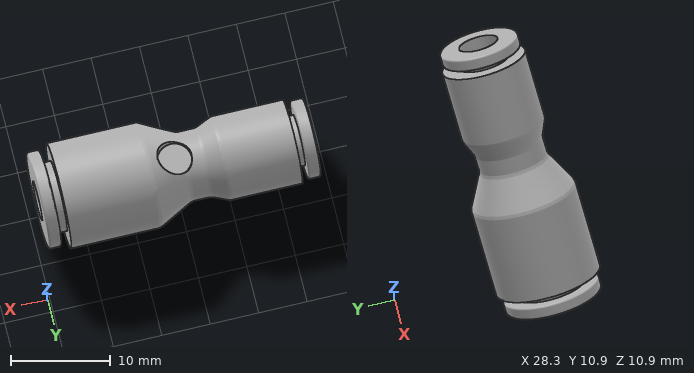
import cadquery as cq

total_length = 28.3
bore_radius = 2.0

collar_thickness = 1.3
collar_rounding = 0.23
small_collar_radius = 4.05
small_stem_radius = 2.6
small_stem_length = 0.68
large_collar_radius = 4.98
large_stem_radius = 3.62
large_stem_length = 0.88

small_body_radius = 4.33
neck_radius = 3.56
large_body_radius = 5.43
small_body_start = collar_thickness + small_stem_length
small_cone_start = 9.42
neck_start = 11.2
neck_end = 13.18
large_cone_end = 16.83
large_body_end = total_length - collar_thickness - large_stem_length
blend_radius = 0.8
edge_tolerance = 0.003

pocket_x = total_length / 2
pocket_radius = 1.75
pocket_floor_height = 2.9


def cylinder(start, end, radius):
    """Solid cylinder along X between two positions."""
    return cq.Workplane("YZ").workplane(offset=start).circle(radius).extrude(end - start)


def make_collar(start, radius):
    """Release collar flange with both rims rounded."""
    return cylinder(start, start + collar_thickness, radius).edges().fillet(collar_rounding)


def make_body():
    """Waisted body with its four cone junctions blended."""
    junctions = [
        (small_cone_start, small_body_radius),
        (neck_start, neck_radius),
        (neck_end, neck_radius),
        (large_cone_end, large_body_radius),
    ]
    outline = [
        (small_body_start, 0),
        (small_body_start, small_body_radius),
        *junctions,
        (large_body_end, large_body_radius),
        (large_body_end, 0),
    ]
    body = cq.Workplane("XY").polyline(outline).close().revolve(360, (0, 0, 0), (1, 0, 0))
    reach = 2 * large_body_radius
    for x, _ in junctions:
        slice_start = (x - edge_tolerance, -reach, -reach)
        slice_end = (x + edge_tolerance, reach, reach)
        body = body.edges(cq.selectors.BoxSelector(slice_start, slice_end)).fillet(blend_radius)
    return body


def make_pocket():
    """Vertical cutter for the round pocket, reaching past the top of the body."""
    cutter_height = large_body_radius
    return (
        cq.Workplane("XY", origin=(pocket_x, 0, pocket_floor_height))
        .circle(pocket_radius)
        .extrude(cutter_height)
    )


large_collar_start = total_length - collar_thickness
small_collar = make_collar(0, small_collar_radius)
large_collar = make_collar(large_collar_start, large_collar_radius)
small_stem = cylinder(collar_thickness, small_body_start, small_stem_radius)
large_stem = cylinder(large_body_end, large_collar_start, large_stem_radius)
bore = cylinder(0, total_length, bore_radius)

result = (
    make_body()
    .union(small_stem)
    .union(small_collar)
    .union(large_stem)
    .union(large_collar)
    .cut(make_pocket())
    .cut(bore)
)